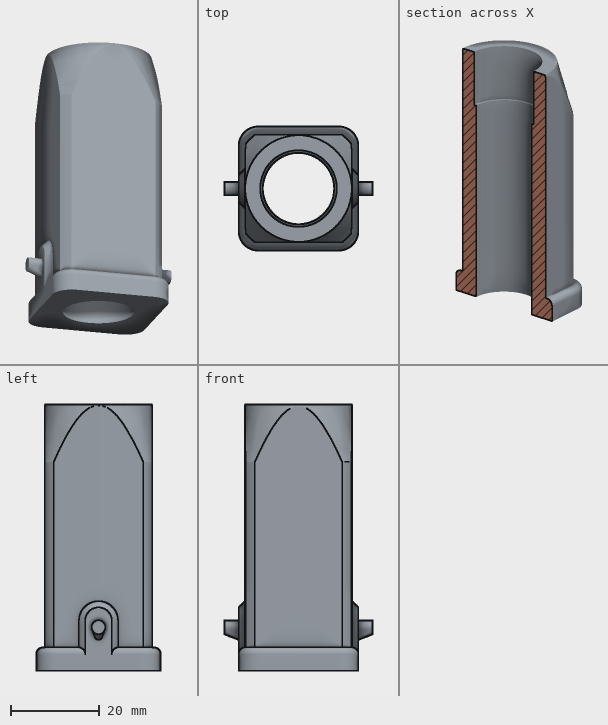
import cadquery as cq
import math

total_height = 60.0
pin_span = 33.4

flange_x = 27.0
flange_y = 28.0
flange_height = 5.3
flange_corner_radius = 4.5
flange_top_radius = 1.5

sleeve_x = 24.2
sleeve_y = 24.25
side_draft_angle = 1.0
sleeve_corner_diameter = 31.2
neck_bottom_z = 47.05
neck_top_diameter = 24.0

bore_diameter = 16.0
upper_bore_diameter = 17.3
upper_bore_depth = total_height - neck_bottom_z

lug_inner_radius = 3.0
lug_center_z = 11.3
lug_bevel = (flange_x - sleeve_x) / 2

pin_diameter = 3.05
pin_z = 9.85
rib_flank_angle = 20.0
rib_root_z = 6.95
rib_end_z = 8.2


def make_flange():
    return (
        cq.Workplane("XY")
        .rect(flange_x, flange_y)
        .extrude(flange_height)
        .edges("|Z")
        .fillet(flange_corner_radius)
        .faces(">Z")
        .edges()
        .fillet(flange_top_radius)
    )


def make_sleeve():
    corner_radius = sleeve_corner_diameter / 2
    envelope = (
        cq.Workplane("XZ")
        .polyline(
            [
                (0, 0),
                (corner_radius, 0),
                (corner_radius, neck_bottom_z),
                (neck_top_diameter / 2, total_height),
                (0, total_height),
            ]
        )
        .close()
        .revolve(360, (0, 0), (0, 1))
    )
    half_x = sleeve_x / 2
    half_y = sleeve_y / 2
    drafted_x = half_x - half_y * math.tan(math.radians(side_draft_angle))
    tube = (
        cq.Workplane("XY")
        .polyline(
            [
                (half_x, 0),
                (drafted_x, half_y),
                (-drafted_x, half_y),
                (-half_x, 0),
                (-drafted_x, -half_y),
                (drafted_x, -half_y),
            ]
        )
        .close()
        .extrude(total_height)
    )
    return tube.intersect(envelope)


def make_lug():
    """Lug on the +X side: round-topped plate, bevelled down to the sleeve wall."""
    outer_radius = lug_inner_radius + lug_bevel

    def arch(x, radius):
        return (
            cq.Workplane("YZ", origin=(x, 0, 0))
            .moveTo(-radius, 0)
            .lineTo(-radius, lug_center_z)
            .threePointArc((0, lug_center_z + radius), (radius, lug_center_z))
            .lineTo(radius, 0)
            .close()
        )

    root = arch(0, outer_radius).extrude(sleeve_x / 2)
    wires = [
        arch(sleeve_x / 2, outer_radius).val(),
        arch(flange_x / 2, lug_inner_radius).val(),
    ]
    return root.union(cq.Workplane(cq.Solid.makeLoft(wires, True)))


def rib_profile(x, bottom_z):
    """Rib outline: a wedge tangent to the pin, rounded by an arc tangent to both flanks."""
    sine = math.sin(math.radians(rib_flank_angle))
    cosine = math.cos(math.radians(rib_flank_angle))
    pin_radius = pin_diameter / 2
    wedge_tip_z = pin_z - pin_radius / sine
    arc_radius = (bottom_z - wedge_tip_z) / (1 / sine - 1)
    arc_center_z = bottom_z + arc_radius
    pin_y = pin_radius * cosine
    pin_contact_z = pin_z - pin_radius * sine
    arc_y = arc_radius * cosine
    arc_end_z = arc_center_z - arc_radius * sine
    return (
        cq.Workplane("YZ", origin=(x, 0, 0))
        .moveTo(-pin_y, pin_contact_z)
        .lineTo(-arc_y, arc_end_z)
        .threePointArc((0, bottom_z), (arc_y, arc_end_z))
        .lineTo(pin_y, pin_contact_z)
        .close()
        .val()
    )


def make_pin():
    """Pin on the +X side with a tapering rib below it."""
    pin = cq.Workplane("YZ").center(0, pin_z).circle(pin_diameter / 2).extrude(pin_span / 2)

    rib_wires = [
        rib_profile(flange_x / 2, rib_root_z),
        rib_profile(pin_span / 2, rib_end_z),
    ]
    return pin.union(cq.Workplane(cq.Solid.makeLoft(rib_wires, True)))


def make_bore():
    bore = cq.Workplane("XY").circle(bore_diameter / 2).extrude(total_height)
    upper_bore = (
        cq.Workplane("XY", origin=(0, 0, total_height))
        .circle(upper_bore_diameter / 2)
        .extrude(-upper_bore_depth)
    )
    return bore.union(upper_bore)


side = make_lug().union(make_pin())
result = (
    make_flange()
    .union(make_sleeve())
    .union(side)
    .union(side.mirror("YZ"))
    .cut(make_bore())
)